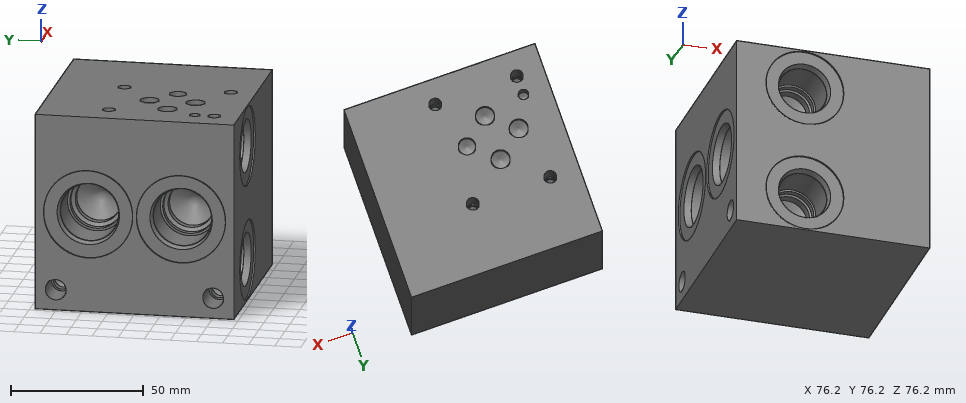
import cadquery as cq
import math

block_size = 76.2
drill_point_half_angle = math.radians(59.0)

spotface_depth = 0.6
seal_seat_depth = 3.3
thread_depth = 16.8
tap_drill_depth = 19.05
feed_bore_depth = 22.85

work_port_x = 27.0
work_port_heights = [15.85, 60.35]

supply_port_z = block_size / 2
supply_port_spacing = 35.6
supply_port_ys = [(block_size + side * supply_port_spacing) / 2 for side in (-1, 1)]

bolt_thread_depth = 12.2
bolt_drill_depth = 15.25

block_bolt_thread_diameter = 7.9
block_bolt_drill_diameter = 6.55
block_bolt_inset = 7.9
block_bolt_ys = [block_bolt_inset, block_size - block_bolt_inset]

valve_bolt_thread_diameter = 4.8
valve_bolt_drill_diameter = 3.8
valve_bolt_points = [(10.6, 9.5), (43.2, 9.5), (42.5, 50.15), (11.6, 50.15)]
locating_pin_diameter = 4.0
locating_pin_depth = 6.1
locating_pin_point = (10.6, 17.0)

valve_port_depth = 2.0
large_valve_port_diameter = 7.2
small_valve_port_diameter = 6.55
large_valve_port_points = [(16.6, 28.65), (27.0, 19.9), (27.0, 37.5)]
small_valve_port_point = (37.25, 28.65)


def drill_point_length(diameter):
    return diameter / 2 / math.tan(drill_point_half_angle)


def turned_hole(corners):
    """Round hole along -Z from the origin, ending in a drill point.

    The corners of its wall are (diameter, depth) pairs, from the face inwards.
    """
    last_diameter, last_depth = corners[-1]
    wall = [(diameter / 2, -depth) for diameter, depth in corners]
    tip = (0, -last_depth - drill_point_length(last_diameter))
    return cq.Workplane("XZ").polyline([(0, 0), *wall, tip]).close().revolve(360, (0, 0), (0, 1))


def drilled_hole(diameter, depth):
    return turned_hole([(diameter, 0), (diameter, depth)])


def bolt_hole(thread_diameter, drill_diameter):
    return turned_hole([
        (thread_diameter, 0),
        (thread_diameter, bolt_thread_depth),
        (drill_diameter, bolt_thread_depth),
        (drill_diameter, bolt_drill_depth),
    ])


def threaded_port(spotface, seat_mouth, seat_end, thread, tap_drill, feed_bore):
    """Straight-thread port, given its diameters from the face inwards."""
    tap_point_end = tap_drill_depth + drill_point_length(tap_drill - feed_bore)
    return turned_hole([
        (spotface, 0),
        (spotface, spotface_depth),
        (seat_mouth, spotface_depth),
        (seat_end, seal_seat_depth),
        (thread, seal_seat_depth),
        (thread, thread_depth),
        (tap_drill, thread_depth),
        (tap_drill, tap_drill_depth),
        (feed_bore, tap_point_end),
        (feed_bore, feed_bore_depth),
    ])


work_port = threaded_port(
    spotface=30.6, seat_mouth=20.6, seat_end=19.3, thread=19.05, tap_drill=17.45, feed_bore=15.85
)
supply_port = threaded_port(
    spotface=34.1, seat_mouth=23.9, seat_end=22.55, thread=22.25, tap_drill=20.4, feed_bore=17.5
)
block_bolt_hole = bolt_hole(block_bolt_thread_diameter, block_bolt_drill_diameter)
valve_bolt_hole = bolt_hole(valve_bolt_thread_diameter, valve_bolt_drill_diameter)
locating_pin_hole = drilled_hole(locating_pin_diameter, locating_pin_depth)
large_valve_port = drilled_hole(large_valve_port_diameter, valve_port_depth)
small_valve_port = drilled_hole(small_valve_port_diameter, valve_port_depth)


def top_hole(hole, x, y):
    return hole.translate((x, y, block_size))


def front_hole(hole, x, z):
    """Hole entering the -Y face and running along +Y."""
    return hole.rotate((0, 0, 0), (1, 0, 0), 90).translate((x, 0, z))


def side_hole(hole, y, z):
    """Hole entering the -X face and running along +X."""
    return hole.rotate((0, 0, 0), (0, 1, 0), -90).translate((0, y, z))


result = cq.Workplane("XY").box(block_size, block_size, block_size, centered=False)

for z in work_port_heights:
    result = result.cut(front_hole(work_port, work_port_x, z))

for y in supply_port_ys:
    result = result.cut(side_hole(supply_port, y, supply_port_z))

for y in block_bolt_ys:
    result = result.cut(side_hole(block_bolt_hole, y, block_bolt_inset))

for x, y in valve_bolt_points:
    result = result.cut(top_hole(valve_bolt_hole, x, y))
result = result.cut(top_hole(locating_pin_hole, *locating_pin_point))

for x, y in large_valve_port_points:
    result = result.cut(top_hole(large_valve_port, x, y))
result = result.cut(top_hole(small_valve_port, *small_valve_port_point))